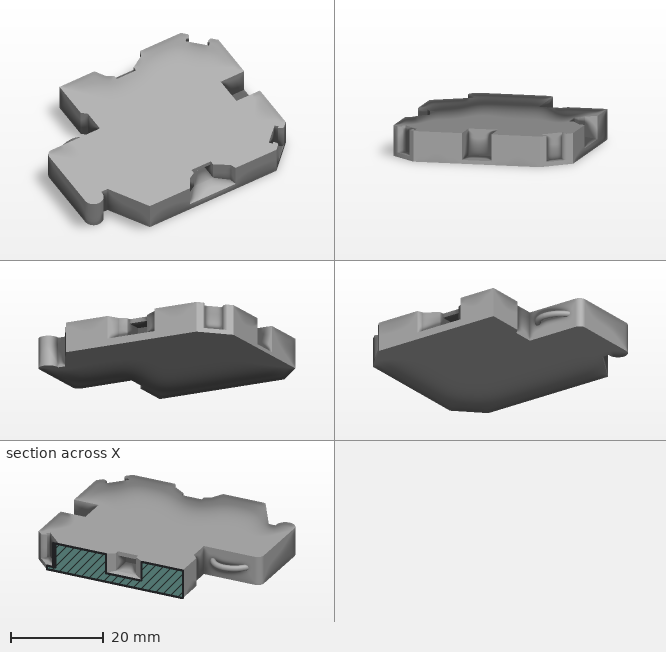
import cadquery as cq
import math

WIDTH = 40.0
LENGTH = 49.0
THICKNESS = 6.7
MID_X = WIDTH / 2
CORNER_CUT = 5.95

SHOULDER_Y = 12.5
STEP_START_X = 8.85
STEP_END_X = 9.95
STEP_Y = 13.65
FOOT_LEFT_X = 14.95
FOOT_CORNER_RADIUS = 1.45
HOOK_DIAMETER = 4.3
HOOK_CENTER_X = 31.4
HOOK_NECK_X = 30.95
HOOK_NECK_Y = 5.95
SLOPE_ANGLE = 30.0

NOTCH_WIDTH = 6.55
NOTCH_DEPTH = 5.95
NOTCH_FLOOR_Z = 0.85

CLIP_MOUTH_HALF = 2.55
CLIP_NECK_HALF = 2.1
CLIP_INNER_HALF = 2.6
CLIP_LIP_RADIUS = 1.22
CLIP_LIP_DEPTH = 1.22
CLIP_DEPTH = 2.1
CLIP_FLOOR_Z = 1.0

ENTRY_TOP_Y = 32.8
ENTRY_BEND_X = 1.3
ENTRY_BEND_Y = 32.3
ENTRY_DEPTH = 3.4
TUNNEL_TOP_Y = 29.15
TUNNEL_BOTTOM_Y = 24.3
ENTRY_LOWER_BEND_X = 2.5
ENTRY_LOWER_BEND_Y = 22.75
ENTRY_BOTTOM_Y = 21.3
ENTRY_OUTER_Z = 1.6
TUNNEL_FLOOR_Z = 2.5
TUNNEL_ROOF_Z = 5.75
TUNNEL_LENGTH = 4.9
ROOF_SETBACK = 1.05

WIRE_DIAMETER = 1.3
WIRE_Z = 3.68
LOOP_LEFT_X = 12.9
LOOP_APEX_Y = 8.1
LOOP_UPPER_RADIUS = 3.8
LOOP_LOWER_RADIUS = 5.6
WIRE_EMBED = 0.75


def box_between(x0, x1, y0, y1, z0, z1):
    return cq.Workplane("XY").box(x1 - x0, y1 - y0, z1 - z0, centered=False).translate((x0, y0, z0))


def mirrored(shape):
    """Copy a left-hand feature to the right-hand side of the plate."""
    return shape.mirror("YZ", (MID_X, 0, 0))


def make_plate():
    hook_radius = HOOK_DIAMETER / 2
    slope_end_y = HOOK_NECK_Y + (WIDTH - HOOK_NECK_X) * math.tan(math.radians(SLOPE_ANGLE))
    plate = (
        cq.Workplane("XY")
        .moveTo(FOOT_LEFT_X, 0)
        .lineTo(HOOK_CENTER_X, 0)
        .threePointArc((HOOK_CENTER_X + hook_radius, hook_radius), (HOOK_CENTER_X, HOOK_DIAMETER))
        .lineTo(HOOK_NECK_X, HOOK_DIAMETER)
        .lineTo(HOOK_NECK_X, HOOK_NECK_Y)
        .lineTo(WIDTH, slope_end_y)
        .lineTo(WIDTH, LENGTH - CORNER_CUT)
        .lineTo(WIDTH - CORNER_CUT, LENGTH)
        .lineTo(CORNER_CUT, LENGTH)
        .lineTo(0, LENGTH - CORNER_CUT)
        .lineTo(0, SHOULDER_Y)
        .lineTo(STEP_START_X, SHOULDER_Y)
        .lineTo(STEP_END_X, STEP_Y)
        .lineTo(FOOT_LEFT_X, STEP_Y)
        .close()
        .extrude(THICKNESS)
    )
    foot_corner = cq.selectors.NearestToPointSelector((FOOT_LEFT_X, 0, THICKNESS / 2))
    return plate.edges(foot_corner).fillet(FOOT_CORNER_RADIUS)


def make_notch():
    half = NOTCH_WIDTH / 2
    return box_between(MID_X - half, MID_X + half, LENGTH - NOTCH_DEPTH, LENGTH, NOTCH_FLOOR_Z, THICKNESS)


def make_clip_pocket():
    """Pocket of the left cut corner: local x runs along the cut, local y points outward."""
    lip_angle = math.acos(1 - (CLIP_MOUTH_HALF - CLIP_NECK_HALF) / CLIP_LIP_RADIUS)
    lip_end_y = -CLIP_LIP_RADIUS * math.sin(lip_angle)
    arc_x = CLIP_NECK_HALF + CLIP_LIP_RADIUS * (1 - math.cos(lip_angle / 2))
    arc_y = lip_end_y + CLIP_LIP_RADIUS * math.sin(lip_angle / 2)
    cut_plane = cq.Plane(
        origin=(CORNER_CUT / 2, LENGTH - CORNER_CUT / 2, CLIP_FLOOR_Z),
        xDir=(1, 1, 0),
        normal=(0, 0, 1),
    )
    return (
        cq.Workplane(cut_plane)
        .moveTo(CLIP_MOUTH_HALF, 0)
        .threePointArc((arc_x, arc_y), (CLIP_NECK_HALF, lip_end_y))
        .lineTo(CLIP_NECK_HALF, -CLIP_LIP_DEPTH)
        .lineTo(CLIP_INNER_HALF, -CLIP_LIP_DEPTH)
        .lineTo(CLIP_INNER_HALF, -CLIP_DEPTH)
        .lineTo(-CLIP_INNER_HALF, -CLIP_DEPTH)
        .lineTo(-CLIP_INNER_HALF, -CLIP_LIP_DEPTH)
        .lineTo(-CLIP_NECK_HALF, -CLIP_LIP_DEPTH)
        .lineTo(-CLIP_NECK_HALF, lip_end_y)
        .threePointArc((-arc_x, arc_y), (-CLIP_MOUTH_HALF, 0))
        .close()
        .extrude(THICKNESS - CLIP_FLOOR_Z)
    )


def make_wire_entry():
    """Left funnel with a ramped floor, the tunnel behind it and the set-back roof edge."""
    funnel_outline = [
        (0, ENTRY_TOP_Y),
        (ENTRY_BEND_X, ENTRY_BEND_Y),
        (ENTRY_DEPTH, TUNNEL_TOP_Y),
        (ENTRY_DEPTH, TUNNEL_BOTTOM_Y),
        (ENTRY_LOWER_BEND_X, ENTRY_LOWER_BEND_Y),
        (0, ENTRY_BOTTOM_Y),
    ]
    ramp_profile = [
        (0, ENTRY_OUTER_Z),
        (ENTRY_DEPTH, TUNNEL_FLOOR_Z),
        (ENTRY_DEPTH, THICKNESS),
        (0, THICKNESS),
    ]
    above_ramp = cq.Workplane("XZ").polyline(ramp_profile).close().extrude(-LENGTH)
    funnel = cq.Workplane("XY").polyline(funnel_outline).close().extrude(THICKNESS).intersect(above_ramp)
    tunnel = box_between(
        ENTRY_DEPTH, ENTRY_DEPTH + TUNNEL_LENGTH, TUNNEL_BOTTOM_Y, TUNNEL_TOP_Y, TUNNEL_FLOOR_Z, TUNNEL_ROOF_Z
    )
    roof_gap = box_between(
        ENTRY_DEPTH, ENTRY_DEPTH + ROOF_SETBACK, TUNNEL_BOTTOM_Y, TUNNEL_TOP_Y, TUNNEL_FLOOR_Z, THICKNESS
    )
    return funnel.union(tunnel).union(roof_gap)


def make_wire_arc(radius, side):
    """Wire from the loop apex into the foot; side is 1 for the upper arc and -1 for the lower."""
    end_x = FOOT_LEFT_X + WIRE_EMBED
    sweep_angle = math.acos(1 - (end_x - LOOP_LEFT_X) / radius)

    def point_at(angle):
        return (
            LOOP_LEFT_X + radius * (1 - math.cos(angle)),
            LOOP_APEX_Y + side * radius * math.sin(angle),
        )

    path = (
        cq.Workplane("XY", origin=(0, 0, WIRE_Z))
        .moveTo(LOOP_LEFT_X, LOOP_APEX_Y)
        .threePointArc(point_at(sweep_angle / 2), point_at(sweep_angle))
    )
    section = cq.Workplane("XZ", origin=(LOOP_LEFT_X, LOOP_APEX_Y, WIRE_Z)).circle(WIRE_DIAMETER / 2)
    return section.sweep(path)


result = make_plate().cut(make_notch())
for left_pocket in (make_clip_pocket(), make_wire_entry()):
    result = result.cut(left_pocket).cut(mirrored(left_pocket))
result = result.union(make_wire_arc(LOOP_UPPER_RADIUS, 1)).union(make_wire_arc(LOOP_LOWER_RADIUS, -1))